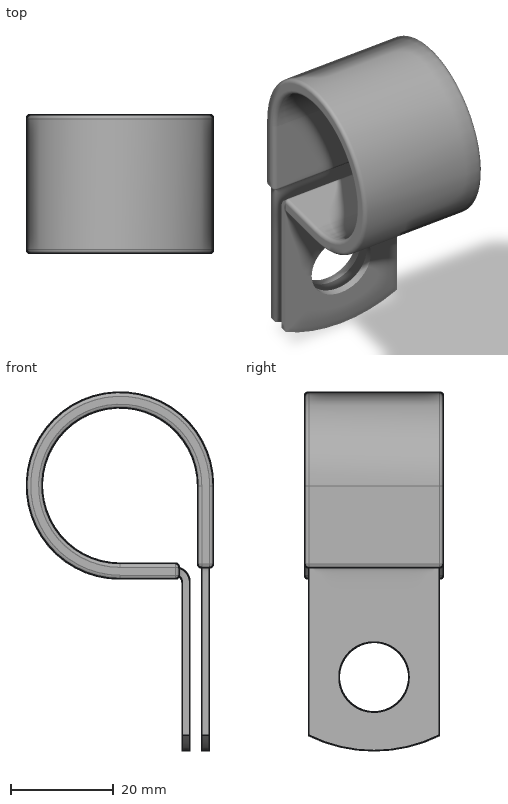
import cadquery as cq
import math

total_height = 69.75
loop_diameter = 36.35
cushion_width = 27.0

strap_thickness = 1.5
cushion_cover = 0.8
cushion_thickness = strap_thickness + 2 * cushion_cover
strap_width = cushion_width - 2 * cushion_cover

loop_radius = loop_diameter / 2
cushion_inner_radius = loop_radius - cushion_thickness
strap_outer_radius = loop_radius - cushion_cover
strap_inner_radius = strap_outer_radius - strap_thickness

floor_end_x = 11.5
side_end_z = -16.0

bent_leg_outer_x = 13.6
bend_inner_radius = 1.4
bend_outer_radius = bend_inner_radius + strap_thickness
leg_bottom_z = loop_radius - total_height
leg_end_sagitta = 3.0
hole_diameter = 13.5
hole_z = -37.25


def extrude_centred(profile, width):
    """Extrude an XZ profile symmetrically about the Y = 0 plane."""
    return profile.extrude(width / 2, both=True)


def make_cushion():
    """Three-quarter loop with a flat floor and a straight side, rounded all over."""
    mid_cos = math.sqrt(0.5)
    profile = (
        cq.Workplane("XZ")
        .moveTo(loop_radius, side_end_z)
        .lineTo(loop_radius, 0)
        .threePointArc((-loop_radius * mid_cos, loop_radius * mid_cos), (0, -loop_radius))
        .lineTo(floor_end_x, -loop_radius)
        .lineTo(floor_end_x, -cushion_inner_radius)
        .lineTo(0, -cushion_inner_radius)
        .threePointArc(
            (-cushion_inner_radius * mid_cos, cushion_inner_radius * mid_cos),
            (cushion_inner_radius, 0),
        )
        .lineTo(cushion_inner_radius, side_end_z)
        .close()
    )
    cushion = extrude_centred(profile, cushion_width)

    def is_sharp(edge):
        centre = edge.Center()
        on_rim = abs(centre.y) > strap_width / 2
        on_end = centre.x > cushion_cover and centre.z < -cushion_cover
        return on_rim or on_end

    return cushion.edges().filter(is_sharp).fillet(cushion_cover)


def make_bent_leg():
    """Strap leaving the cushion floor and turning down into the first leg."""
    profile = (
        cq.Workplane("XZ")
        .moveTo(0, -strap_inner_radius)
        .lineTo(bent_leg_outer_x - bend_outer_radius, -strap_inner_radius)
        .radiusArc((bent_leg_outer_x, -strap_inner_radius - bend_outer_radius), bend_outer_radius)
        .lineTo(bent_leg_outer_x, leg_bottom_z)
        .lineTo(bent_leg_outer_x - strap_thickness, leg_bottom_z)
        .lineTo(bent_leg_outer_x - strap_thickness, -strap_inner_radius - bend_outer_radius)
        .radiusArc((bent_leg_outer_x - bend_outer_radius, -strap_outer_radius), -bend_inner_radius)
        .lineTo(0, -strap_outer_radius)
        .close()
    )
    return extrude_centred(profile, strap_width)


def make_straight_leg():
    """Strap running straight down from the side of the loop."""
    profile = (
        cq.Workplane("XZ")
        .moveTo(strap_inner_radius, 0)
        .lineTo(strap_outer_radius, 0)
        .lineTo(strap_outer_radius, leg_bottom_z)
        .lineTo(strap_inner_radius, leg_bottom_z)
        .close()
    )
    return extrude_centred(profile, strap_width)


def make_leg_outline():
    """Strap outline across both legs, with a curved lower end and the bolt hole."""
    half_width = strap_width / 2
    corner_z = leg_bottom_z + leg_end_sagitta
    outline = (
        cq.Workplane("YZ")
        .moveTo(-half_width, 0)
        .lineTo(-half_width, corner_z)
        .threePointArc((0, leg_bottom_z), (half_width, corner_z))
        .lineTo(half_width, 0)
        .close()
        .extrude(loop_radius)
    )
    hole = (
        cq.Workplane("YZ")
        .center(0, hole_z)
        .circle(hole_diameter / 2)
        .extrude(loop_radius)
    )
    return outline.cut(hole)


outline = make_leg_outline()
bent_leg = make_bent_leg().intersect(outline)
straight_leg = make_straight_leg().intersect(outline)
result = make_cushion().union(bent_leg).union(straight_leg)